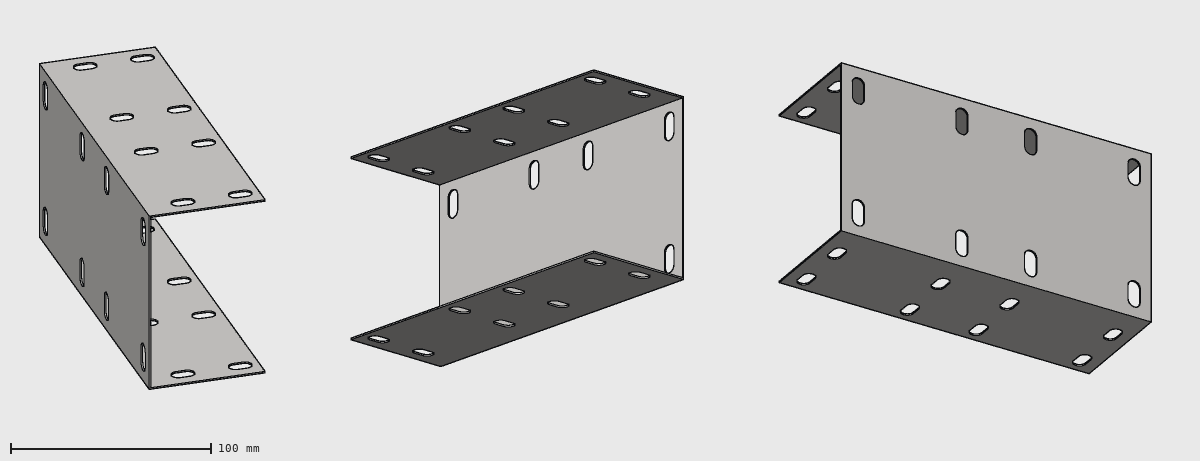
import cadquery as cq

length = 180.0
depth = 60.8
height = 96.7
sheet = 0.9

slot_width = 7.0
web_slot_length = 15.0
flange_slot_length = 12.0
end_to_column = 9.9
outer_column = length / 2 - end_to_column
inner_column = 20.0
columns = (-outer_column, -inner_column, inner_column, outer_column)

web_row_pitch = 70.0
web_rows = (-web_row_pitch / 2, web_row_pitch / 2)
flange_row_pitch = 30.0
free_edge_to_row = 9.9
rear_row = depth / 2 - free_edge_to_row
flange_rows = (rear_row - flange_row_pitch, rear_row)


def make_channel():
    """Channel centred on the origin, open toward +Y."""
    block = cq.Workplane("XY").box(length, depth, height)
    cavity = cq.Workplane("XY").box(length, depth, height - 2 * sheet).translate((0, sheet, 0))
    return block.cut(cavity)


def slot_cutter(plane, rows, slot_length, reach):
    """Slots at every column and row, extruded both ways from the plane."""
    centres = [(x, row) for x in columns for row in rows]
    return (
        cq.Workplane(plane)
        .pushPoints(centres)
        .slot2D(slot_length, slot_width, 90)
        .extrude(reach, both=True)
    )


web_slots = slot_cutter("XZ", web_rows, web_slot_length, depth)
flange_slots = slot_cutter("XY", flange_rows, flange_slot_length, height)

result = make_channel().cut(web_slots).cut(flange_slots)